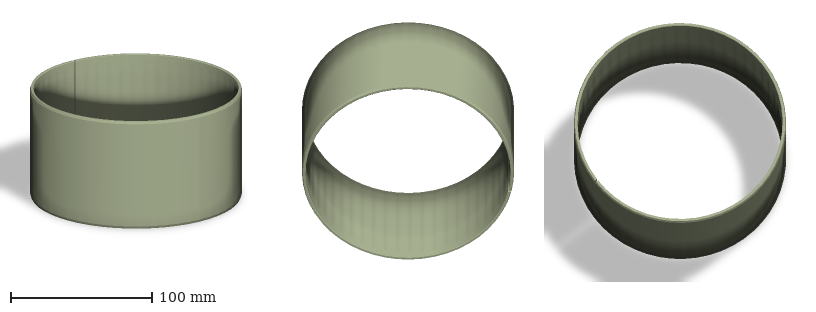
import cadquery as cq

outer_diameter = 150.0
wall = 2.5
height = 80.0
slit_width = 1.0

chamfer_height = 1.8
chamfer_depth = 0.66

bore_chamfer = 0.5

outer_radius = outer_diameter / 2
inner_radius = outer_radius - wall
half_height = height / 2


def sleeve():
    """Revolve the wall section, chamfered at all four corners."""
    return (
        cq.Workplane("XZ")
        .moveTo(inner_radius + bore_chamfer, -half_height)
        .lineTo(outer_radius - chamfer_depth, -half_height)
        .lineTo(outer_radius, -half_height + chamfer_height)
        .lineTo(outer_radius, half_height - chamfer_height)
        .lineTo(outer_radius - chamfer_depth, half_height)
        .lineTo(inner_radius + bore_chamfer, half_height)
        .lineTo(inner_radius, half_height - bore_chamfer)
        .lineTo(inner_radius, -half_height + bore_chamfer)
        .close()
        .revolve(360, (0, 0, 0), (0, 1, 0))
    )


def slit():
    """Full-height cut through the wall on the -X side, with one face on the XZ plane."""
    blank = cq.Workplane("XY").box(outer_diameter, slit_width, 2 * height)
    return blank.translate((-outer_radius, slit_width / 2, 0))


result = sleeve().cut(slit())